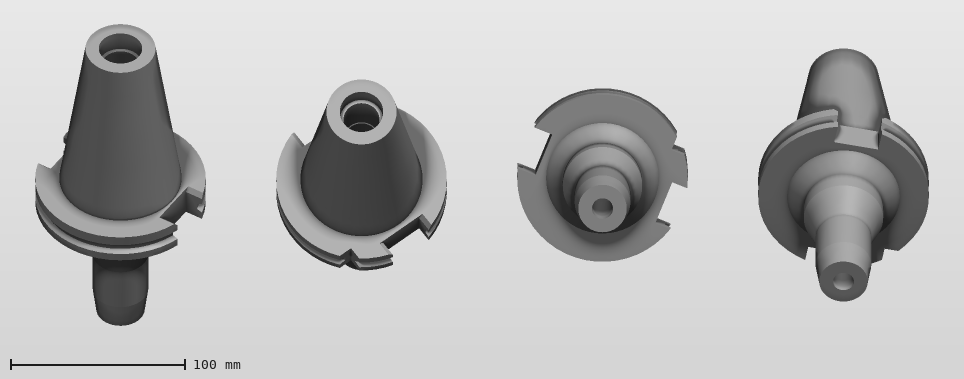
import cadquery as cq

total_height = 206.8
cone_length = 101.7
gauge_z = total_height - cone_length
flange_top = 103.8
flange_bottom = 85.5
neck_top = 75.7
neck_bottom = 64.0
shank_top = 44.5
nose_top = 16.7

cone_top_radius = 20.0
cone_base_radius = 35.0
flange_radius = 48.8
neck_cone_radius = 32.3
neck_radius = 22.7
shank_radius = 16.0
nose_radius = 13.9

groove_radius = 45.7
groove_upper_edge = 97.5
groove_floor_top = 95.7
groove_floor_bottom = 91.8
groove_lower_edge = 90.5

left_slot_wall = 37.8
right_slot_wall = 36.2
slot_width = 25.6
slot_chamfer = 2.5
notch_x = -30.4
notch_y = 30.2

bore_steps = [
    (12.5, total_height - 12.2),
    (10.3, total_height - 41.4),
    (9.7, 47.0),
    (6.0, 0.0),
]


def turned_body():
    """Revolve the solid outer profile about the Z axis."""
    profile = [
        (0, 0),
        (nose_radius, 0),
        (shank_radius, nose_top),
        (shank_radius, shank_top),
        (neck_radius, neck_bottom),
        (neck_radius, neck_top),
        (neck_cone_radius, flange_bottom),
        (flange_radius, flange_bottom),
        (flange_radius, groove_lower_edge),
        (groove_radius, groove_floor_bottom),
        (groove_radius, groove_floor_top),
        (flange_radius, groove_upper_edge),
        (flange_radius, flange_top),
        (cone_base_radius, flange_top),
        (cone_base_radius, gauge_z),
        (cone_top_radius, total_height),
        (0, total_height),
    ]
    return cq.Workplane("XZ").polyline(profile).close().revolve(360, (0, 0), (0, 1))


def driving_slot(side, wall_distance):
    """Slot through the flange rim, its top edges chamfered; side is +1 or -1 along X."""
    half_width = slot_width / 2
    wide_half = half_width + slot_chamfer
    section = [
        (-half_width, flange_bottom),
        (half_width, flange_bottom),
        (half_width, flange_top - slot_chamfer),
        (wide_half, flange_top),
        (-wide_half, flange_top),
        (-half_width, flange_top - slot_chamfer),
    ]
    return (
        cq.Workplane("YZ", origin=(side * wall_distance, 0, 0))
        .polyline(section)
        .close()
        .extrude(side * (flange_radius - wall_distance))
    )


def orientation_notch():
    """Square-cornered notch through the -X, +Y part of the flange rim."""
    return (
        cq.Workplane("XY", origin=(0, 0, flange_bottom))
        .moveTo(notch_x, notch_y)
        .rect(-flange_radius, flange_radius, centered=False)
        .extrude(flange_top - flange_bottom)
    )


result = turned_body()

for slot_side, slot_wall in ((-1, left_slot_wall), (1, right_slot_wall)):
    result = result.cut(driving_slot(slot_side, slot_wall))

result = result.cut(orientation_notch())

for bore_radius, floor_z in bore_steps:
    bore = cq.Workplane("XY", origin=(0, 0, floor_z)).circle(bore_radius).extrude(total_height - floor_z)
    result = result.cut(bore)